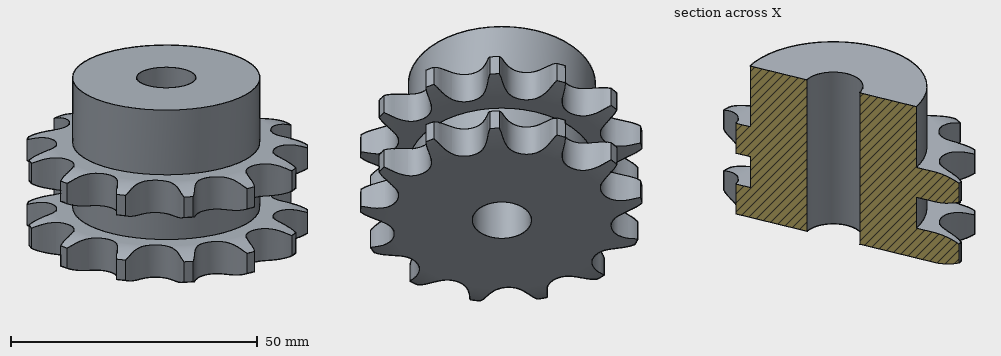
import cadquery as cq
import math

TEETH = 13
CHAIN_PITCH = 12.7
ROLLER_DIAMETER = 8.51
TIP_DIAMETER = 57.4

PLATE_COUNT = 2
PLATE_THICKNESS = 7.0
PLATE_SPACING = 14.0
HUB_DIAMETER = 38.0
HUB_HEIGHT = 35.0
BORE_DIAMETER = 12.0

SIDE_RADIUS = 13.0
SIDE_RELIEF = 1.3

CUT_MARGIN = 2.0

TIP_RADIUS = TIP_DIAMETER / 2
TOOTH_STEP = 360 / TEETH
HALF_STEP = math.radians(TOOTH_STEP / 2)
PITCH_RADIUS = CHAIN_PITCH / 2 / math.sin(HALF_STEP)
FIRST_GAP_ANGLE = -90 + TOOTH_STEP / 2

SEAT_RADIUS = (1.005 * ROLLER_DIAMETER + 0.076) / 2
SEAT_END_ANGLE = math.radians(35 + 60 / TEETH)
FLANK_SWEEP = math.radians(18 - 56 / TEETH)
FLANK_END_ANGLE = SEAT_END_ANGLE - FLANK_SWEEP
FLANK_CENTER_OFFSET = 0.8 * ROLLER_DIAMETER
TOPPING_CENTER_OFFSET = 1.4 * ROLLER_DIAMETER


def step_from(point, distance, angle):
    """Point at a distance and angle (radians) from another point."""
    return (
        point[0] + distance * math.cos(angle),
        point[1] + distance * math.sin(angle),
    )


def gap_cutter():
    """Tooth gap on the +X axis, its flank arcs running out to the tip circle."""
    roller_center = (PITCH_RADIUS, 0)
    right_angle = math.pi / 2

    seat_bottom = (PITCH_RADIUS - SEAT_RADIUS, 0)
    seat_end = step_from(roller_center, SEAT_RADIUS, right_angle + SEAT_END_ANGLE)

    flank_radius = FLANK_CENTER_OFFSET + SEAT_RADIUS
    flank_center = step_from(roller_center, FLANK_CENTER_OFFSET, SEAT_END_ANGLE - right_angle)
    flank_mid_angle = right_angle + SEAT_END_ANGLE - FLANK_SWEEP / 2
    flank_mid = step_from(flank_center, flank_radius, flank_mid_angle)
    flank_end = step_from(flank_center, flank_radius, right_angle + FLANK_END_ANGLE)

    topping_center = step_from(roller_center, TOPPING_CENTER_OFFSET, right_angle + HALF_STEP)
    to_topping = (topping_center[0] - flank_end[0], topping_center[1] - flank_end[1])
    straight_length = to_topping[0] * math.cos(FLANK_END_ANGLE) + to_topping[1] * math.sin(FLANK_END_ANGLE)
    straight_end = step_from(flank_end, straight_length, FLANK_END_ANGLE)

    topping_radius = math.dist(topping_center, straight_end)
    center_radius = math.hypot(*topping_center)
    cos_tip = (TIP_RADIUS**2 + center_radius**2 - topping_radius**2) / (2 * TIP_RADIUS * center_radius)
    tip_angle = math.atan2(topping_center[1], topping_center[0]) - math.acos(cos_tip)
    tip = step_from((0, 0), TIP_RADIUS, tip_angle)
    start_angle = math.atan2(straight_end[1] - topping_center[1], straight_end[0] - topping_center[0])
    end_angle = math.atan2(tip[1] - topping_center[1], tip[0] - topping_center[0])
    topping_mid_angle = (start_angle % math.tau + end_angle % math.tau) / 2
    topping_mid = step_from(topping_center, topping_radius, topping_mid_angle)

    outer = step_from((0, 0), TIP_RADIUS + CUT_MARGIN, tip_angle)

    def mirrored(point):
        return (point[0], -point[1])

    return (
        cq.Workplane("XY")
        .workplane(offset=-CUT_MARGIN)
        .moveTo(*outer)
        .lineTo(*tip)
        .threePointArc(topping_mid, straight_end)
        .lineTo(*flank_end)
        .threePointArc(flank_mid, seat_end)
        .threePointArc(seat_bottom, mirrored(seat_end))
        .threePointArc(mirrored(flank_mid), mirrored(flank_end))
        .lineTo(*mirrored(straight_end))
        .threePointArc(mirrored(topping_mid), mirrored(tip))
        .lineTo(*mirrored(outer))
        .close()
        .extrude(PLATE_THICKNESS + 2 * CUT_MARGIN)
    )


def plate_blank():
    """Disc whose faces curve inwards to a narrower rim."""
    relief_angle = math.acos(1 - SIDE_RELIEF / SIDE_RADIUS)
    relief_start = TIP_RADIUS - SIDE_RADIUS * math.sin(relief_angle)
    lower_center = (relief_start, SIDE_RADIUS)
    upper_center = (relief_start, PLATE_THICKNESS - SIDE_RADIUS)
    lower_mid = step_from(lower_center, SIDE_RADIUS, (relief_angle - math.pi) / 2)
    upper_mid = step_from(upper_center, SIDE_RADIUS, (math.pi - relief_angle) / 2)
    return (
        cq.Workplane("XZ")
        .moveTo(0, 0)
        .lineTo(relief_start, 0)
        .threePointArc(lower_mid, (TIP_RADIUS, SIDE_RELIEF))
        .lineTo(TIP_RADIUS, PLATE_THICKNESS - SIDE_RELIEF)
        .threePointArc(upper_mid, (relief_start, PLATE_THICKNESS))
        .lineTo(0, PLATE_THICKNESS)
        .close()
        .revolve(360, (0, 0, 0), (0, 1, 0))
    )


def toothed_plate():
    """One sprocket plate with all its gaps cut."""
    plate = plate_blank()
    gap = gap_cutter()
    for index in range(TEETH):
        angle = FIRST_GAP_ANGLE + index * TOOTH_STEP
        plate = plate.cut(gap.rotate((0, 0, 0), (0, 0, 1), angle))
    return plate


def sprocket():
    """Hub carrying the evenly spaced plates, bored through."""
    body = cq.Workplane("XY").circle(HUB_DIAMETER / 2).extrude(HUB_HEIGHT)
    plate = toothed_plate()
    for index in range(PLATE_COUNT):
        body = body.union(plate.translate((0, 0, index * PLATE_SPACING)))
    bore = cq.Workplane("XY").circle(BORE_DIAMETER / 2).extrude(HUB_HEIGHT)
    return body.cut(bore)


result = sprocket()